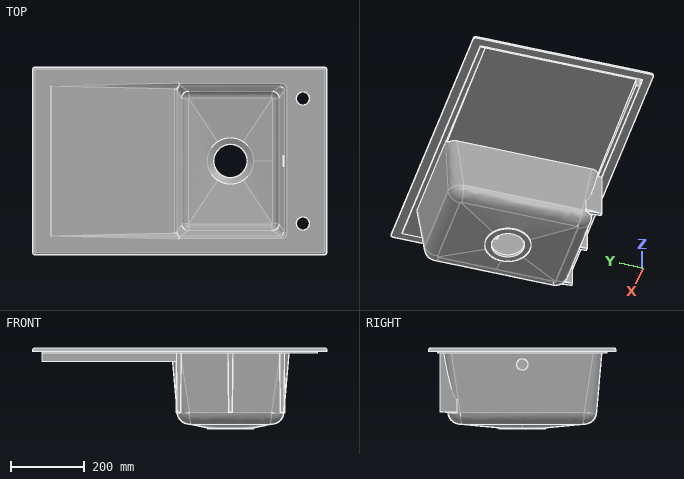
import cadquery as cq
import math

length = 800.92
width = 510.92
total_height = 221.0

rim_thickness = 10.0
rim_corner_radius = 7.5
rim_edge_radius = 7.0
step_length = 750.0
step_width = 460.0
step_bottom = -14.5

wall = 13.0
bowl_x = 138.0
bowl_inner_length = 296.0
bowl_inner_width = 410.0
bowl_draft = 5.0
bowl_corner_radius = 10.0
bowl_lip_radius = 7.0
bowl_inner_depth = 195.0
inner_floor_radius = 18.0
outer_floor_radius = 35.0
floor_corner_margin = 1.0

drain_diameter = 90.0
drain_seat_diameter = 126.0
drain_seat_drop = 8.0
floor_ledge = 0.5
floor_fall = 10.0

trough_start_x = -350.0
trough_half_width = 204.0
trough_end_depth = 16.0
trough_side_run = 8.0
trough_overlap = 8.0
trough_fade_scale = 0.01
trough_lip_radius = 7.5
board_half_width = 216.0
board_end_bottom = -26.0

tap_diameter = 35.0
tap_x = 335.0
tap_spacing = 340.0
overflow_diameter = 30.88
overflow_z = -45.0

rib_outer_y = -224.0
rib_inner_y = -178.0
rib_bottom = -174.0
rib_top_width = 13.0
rib_bottom_width = 8.5
rib_count = 3
rib_draft = 4.0
rib_pitch = 140.5
board_rib_bottom = -37.5
board_rib_thickness = 11.0
board_rib_setback = 0.7

embed_z = -rim_thickness / 2

bowl_left_x = bowl_x - bowl_inner_length / 2
first_rib_x = bowl_x - rib_pitch


def bowl_block(offset, depth, edge_radius):
    """Drafted bowl volume, grown outwards by offset, with a rounded and falling floor."""
    inset = depth * math.tan(math.radians(bowl_draft))
    x_size = bowl_inner_length + 2 * offset
    y_size = bowl_inner_width + 2 * offset
    top = cq.Sketch().rect(x_size, y_size).vertices().fillet(bowl_corner_radius + offset)
    bottom = cq.Sketch().rect(x_size - 2 * inset, y_size - 2 * inset).vertices()
    bottom = bottom.fillet(edge_radius + floor_corner_margin)
    bottom_location = cq.Location(cq.Vector(0, 0, -depth))
    walls = cq.Workplane("XY", origin=(bowl_x, 0, 0)).placeSketch(top, bottom.moved(bottom_location))
    walls = walls.loft()
    walls = walls.faces("<Z").edges().fillet(edge_radius)

    edge_run = edge_radius * math.tan(math.radians(45 - bowl_draft / 2))
    edge_run += floor_ledge
    flat_x = x_size - 2 * inset - 2 * edge_run
    flat_y = y_size - 2 * inset - 2 * edge_run
    floor = (
        cq.Workplane("XY", origin=(bowl_x, 0, -depth))
        .rect(flat_x, flat_y)
        .workplane(offset=-floor_fall)
        .circle(drain_seat_diameter / 2)
        .loft()
    )
    return walls.union(floor)


def rim():
    plate = cq.Workplane("XY").rect(length, width).extrude(-rim_thickness)
    plate = plate.edges("|Z").fillet(rim_corner_radius)
    plate = plate.faces(">Z").edges().fillet(rim_edge_radius)
    step = cq.Workplane("XY", origin=(0, 0, embed_z)).rect(step_length, step_width)
    return plate.union(step.extrude(step_bottom - embed_z))


def drainboard_body():
    profile = [
        (-step_length / 2, -rim_thickness),
        (-step_length / 2, step_bottom),
        (bowl_left_x, board_end_bottom),
        (bowl_left_x, -rim_thickness),
    ]
    body = cq.Workplane("XZ").polyline(profile).close()
    return body.extrude(board_half_width, both=True)


def drain_boss():
    boss = cq.Workplane("XY", origin=(bowl_x, 0, -total_height)).circle(drain_seat_diameter / 2)
    return boss.extrude(wall)


def bowl_rib(x):
    """Rib whose outer face narrows downwards and whose sides widen towards the bowl."""
    top_half = rib_top_width / 2
    bottom_half = rib_bottom_width / 2
    outer_face = [
        (-top_half, embed_z),
        (-bottom_half, rib_bottom),
        (bottom_half, rib_bottom),
        (top_half, embed_z),
    ]
    rib = cq.Workplane("XZ", origin=(x, rib_outer_y, 0)).polyline(outer_face).close()
    return rib.extrude(rib_outer_y - rib_inner_y, taper=-rib_draft)


def board_rib():
    start_x = -step_length / 2
    size = (first_rib_x - start_x, board_rib_thickness, -rim_thickness - board_rib_bottom)
    corner = (start_x, rib_outer_y + board_rib_setback, board_rib_bottom)
    return cq.Workplane("XY", origin=corner).box(*size, centered=False)


def trough_section(x, scale):
    """Cross-section of the trough: each side is a convex round that flows into a concave round."""
    arc_middle = math.sqrt(0.5)
    depth = trough_end_depth * scale
    run = trough_side_run * scale
    outer = trough_half_width + run
    inner = trough_half_width - run
    upper_bend_y = trough_half_width + run * (1 - arc_middle)
    lower_bend_y = trough_half_width - run * (1 - arc_middle)
    middle_z = -depth / 2
    upper_bend_z = middle_z * (1 - arc_middle)
    lower_bend_z = middle_z * (1 + arc_middle)
    return (
        cq.Workplane("YZ", origin=(x, 0, 0))
        .moveTo(-outer, 0)
        .threePointArc((-upper_bend_y, upper_bend_z), (-trough_half_width, middle_z))
        .threePointArc((-lower_bend_y, lower_bend_z), (-inner, -depth))
        .lineTo(inner, -depth)
        .threePointArc((lower_bend_y, lower_bend_z), (trough_half_width, middle_z))
        .threePointArc((upper_bend_y, upper_bend_z), (outer, 0))
        .close()
        .wire()
        .val()
    )


def trough():
    """Trough that fades out at its shallow end, where the section is scaled almost to nothing."""
    start = trough_section(trough_start_x, trough_fade_scale)
    end = trough_section(bowl_left_x + trough_overlap, 1.0)
    return cq.Workplane(cq.Solid.makeLoft([start, end], True))


def bowl_cavity():
    """Bowl volume under a slab; the round where they meet forms the bowl's top lip."""
    slab_height = 20.0
    slab_margin = 25.0
    slack = 1.0
    half_x = bowl_inner_length / 2
    half_y = bowl_inner_width / 2
    slab = cq.Workplane("XY", origin=(bowl_x, 0, 0))
    slab = slab.rect(2 * (half_x + slab_margin), 2 * (half_y + slab_margin)).extrude(slab_height)
    cavity = bowl_block(0, bowl_inner_depth, inner_floor_radius).union(slab)
    lip = cq.selectors.BoxSelector(
        (bowl_x - half_x - slack, -half_y - slack, -slack),
        (bowl_x + half_x + slack, half_y + slack, slack),
    )
    return cavity.edges(lip).fillet(bowl_lip_radius)


def trough_lip_round():
    """Sliver that, when cut, rounds the edge where the trough floor drops into the bowl."""
    slope = math.atan(trough_end_depth / (bowl_left_x + trough_overlap - trough_start_x))
    draft = math.radians(bowl_draft)
    lip_z = -(bowl_left_x - trough_start_x) * math.tan(slope)
    lip = cq.Vector(bowl_left_x - lip_z * math.tan(draft), lip_z)
    along_floor = cq.Vector(-math.cos(slope), math.sin(slope))
    along_wall = cq.Vector(math.sin(draft), -math.cos(draft))
    inward = (along_floor + along_wall).normalized()
    half_angle = (math.pi / 2 + slope + draft) / 2
    run = trough_lip_radius / math.tan(half_angle)
    arc_depth = trough_lip_radius / math.sin(half_angle) - trough_lip_radius
    floor_end = lip + along_floor * run
    arc_middle = lip + inward * arc_depth
    wall_end = lip + along_wall * run
    clear_of_edge = lip - inward
    sliver = (
        cq.Workplane("XZ")
        .moveTo(floor_end.x, floor_end.y)
        .threePointArc((arc_middle.x, arc_middle.y), (wall_end.x, wall_end.y))
        .lineTo(clear_of_edge.x, clear_of_edge.y)
        .close()
    )
    return sliver.extrude(trough_half_width - trough_side_run, both=True)


def drain_opening():
    seat_top = -bowl_inner_depth - floor_fall
    throat = seat_top - drain_seat_drop
    seat = (
        cq.Workplane("XY", origin=(bowl_x, 0, seat_top))
        .circle(drain_seat_diameter / 2)
        .workplane(offset=-drain_seat_drop)
        .circle(drain_diameter / 2)
        .loft()
    )
    hole = cq.Workplane("XY", origin=(bowl_x, 0, -total_height)).circle(drain_diameter / 2)
    return seat.union(hole.extrude(total_height + throat))


def tap_holes():
    points = [(tap_x, -tap_spacing / 2), (tap_x, tap_spacing / 2)]
    return cq.Workplane("XY").pushPoints(points).circle(tap_diameter / 2).extrude(step_bottom)


def overflow_hole():
    hole = cq.Workplane("YZ", origin=(bowl_x, 0, overflow_z)).circle(overflow_diameter / 2)
    return hole.extrude(bowl_inner_length)


body = rim()
body = body.union(drainboard_body())
body = body.union(bowl_block(wall, bowl_inner_depth + wall, outer_floor_radius))
body = body.union(drain_boss())
for index in range(rib_count):
    body = body.union(bowl_rib(first_rib_x + index * rib_pitch))
body = body.union(board_rib())
body = body.cut(bowl_cavity())
body = body.cut(trough())
body = body.cut(trough_lip_round())
body = body.cut(drain_opening())
body = body.cut(tap_holes())
result = body.cut(overflow_hole())